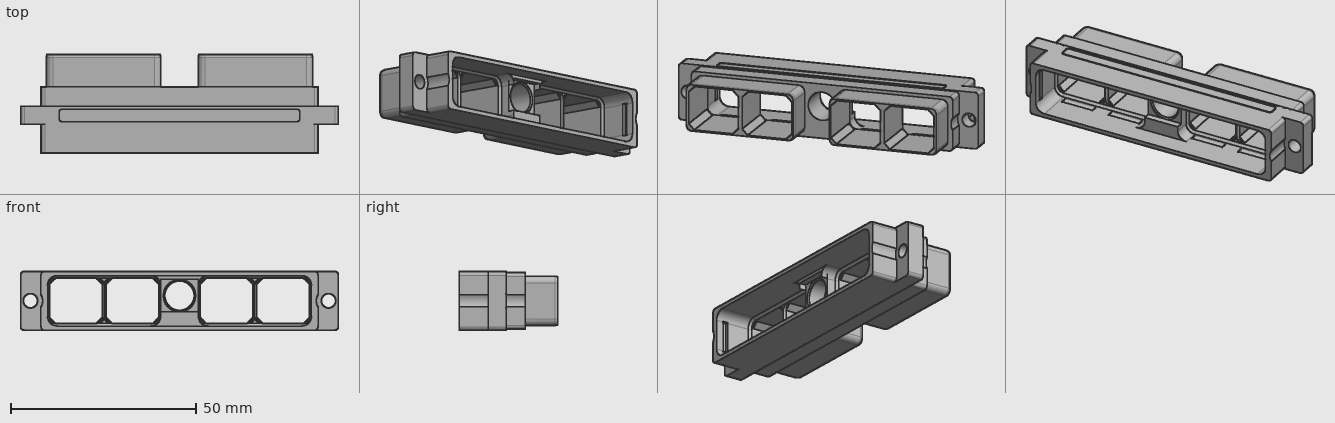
import cadquery as cq

BODY_DEPTH = 17.9
FLANGE_FRONT = 7.8
FLANGE_THICKNESS = 4.9
TOTAL_DEPTH = 26.66

FLANGE_LENGTH = 85.86
BODY_LENGTH = 74.8
BODY_HEIGHT = 15.9
REAR_BODY_HEIGHT = 15.3
SHELL_CORNER_RADIUS = 1.0
FLANGE_BACK = FLANGE_FRONT + FLANGE_THICKNESS

MOUNT_HOLE_X = 40.25
MOUNT_HOLE_DIAMETER = 3.8
SCREW_HEAD_DIAMETER = 6.6

BOSS_CENTER_X = 20.5
BOSS_LENGTH = 31.0
BOSS_HEIGHT = 13.4
BOSS_CORNER_RADIUS = 1.8
BOSS_END_BEVEL_DEPTH = 0.8
BOSS_END_BEVEL_INSET = 0.2

CAVITY_LENGTH = 71.2
CAVITY_HEIGHT = 13.6
CAVITY_CORNER_RADIUS = 2.6
CAVITY_DEPTH = 10.4
CENTER_BLOCK_WIDTH = 10.2
CENTER_BLOCK_FRONT = 5.8
HALF_LENGTH = (CAVITY_LENGTH - CENTER_BLOCK_WIDTH) / 2
HALF_CENTER_X = (CENTER_BLOCK_WIDTH + HALF_LENGTH) / 2

SEAT_END_INSET = 0.5
SEAT_FLOOR_INSET = 0.7
SEAT_DEPTH = 0.8
SEAT_BACK = CAVITY_DEPTH + SEAT_DEPTH
SEAT_LENGTH = HALF_LENGTH - 2 * SEAT_END_INSET
SEAT_HEIGHT = CAVITY_HEIGHT - 2 * SEAT_FLOOR_INSET
SEAT_CORNER_RADIUS = 1.9

BAY_LENGTH = SEAT_LENGTH / 2
DIVIDER_THICKNESS = 1.1
DIVIDER_SLOPE = DIVIDER_THICKNESS / 2
WINDOW_LENGTH = BAY_LENGTH - DIVIDER_SLOPE
WINDOW_HEIGHT = SEAT_HEIGHT
WINDOW_BEVEL = 1.6
LEAD_IN_DEPTH = 0.6
LEAD_IN_CORNER_RADIUS = 1.4

BLOCK_RECESS_BOTTOM = -2.95
BLOCK_RECESS_TOP = 5.85
GUIDE_HOLE_Z = 1.4
GUIDE_HOLE_DIAMETER = 7.9
GUIDE_HOLE_CHAMFER = 0.4

NOTCH_CENTERS_X = (12.9, 27.3)
NOTCH_LENGTH = 9.5
NOTCH_FRONT = 8.0
NOTCH_BACK = 9.9
NOTCH_DEPTH = 0.5

SLOT_FRONT = 2.1
SLOT_BACK = 3.6
SLOT_DEPTH = 0.9
SLOT_HEIGHT = 8.8

LABEL_LENGTH = 64.9
LABEL_WIDTH = 3.35
LABEL_CENTER_Y = 10.2
LABEL_CORNER_RADIUS = 0.7
LABEL_DEPTH = 0.2

SIDES = (-1, 1)


def plane_at(y, x=0.0, z=0.0):
    """Workplane facing +Y, with local x along -X and local y along +Z."""
    return cq.Workplane(cq.Plane(origin=(x, y, z), xDir=(-1, 0, 0), normal=(0, 1, 0)))


def rounded_block(length, height, radius, y_front, y_back, x=0.0):
    block = plane_at(y_front, x).rect(length, height).extrude(y_back - y_front)
    return block.edges("|Y").fillet(radius)


def rounded_taper(front_size, front_radius, back_size, back_radius, y_front, y_back, x_front, x_back):
    """Frustum between two rounded rectangles, each given as (length, height) and a center x."""
    front = cq.Sketch().rect(*front_size).vertices().fillet(front_radius)
    back = cq.Sketch().rect(*back_size).vertices().fillet(back_radius)
    back_offset = cq.Vector(x_front - x_back, 0, y_back - y_front)
    return plane_at(y_front, x_front).placeSketch(front, back.moved(cq.Location(back_offset))).loft()


def make_boss(x):
    bevel_front = TOTAL_DEPTH - BOSS_END_BEVEL_DEPTH
    boss = rounded_block(BOSS_LENGTH, BOSS_HEIGHT, BOSS_CORNER_RADIUS, FLANGE_BACK, bevel_front, x)
    end_size = (BOSS_LENGTH - 2 * BOSS_END_BEVEL_INSET, BOSS_HEIGHT - 2 * BOSS_END_BEVEL_INSET)
    bevelled_end = rounded_taper(
        (BOSS_LENGTH, BOSS_HEIGHT),
        BOSS_CORNER_RADIUS,
        end_size,
        BOSS_CORNER_RADIUS - BOSS_END_BEVEL_INSET,
        bevel_front,
        TOTAL_DEPTH,
        x,
        x,
    )
    return boss.union(bevelled_end)


def make_shell():
    shell = rounded_block(BODY_LENGTH, BODY_HEIGHT, SHELL_CORNER_RADIUS, 0, FLANGE_BACK)
    shell = shell.union(
        rounded_block(FLANGE_LENGTH, BODY_HEIGHT, SHELL_CORNER_RADIUS, FLANGE_FRONT, FLANGE_BACK)
    )
    shell = shell.union(
        rounded_block(BODY_LENGTH, REAR_BODY_HEIGHT, SHELL_CORNER_RADIUS, FLANGE_FRONT, BODY_DEPTH)
    )
    for side in SIDES:
        shell = shell.union(make_boss(side * BOSS_CENTER_X))
    return shell


def cut_mounting(shell):
    for side in SIDES:
        x = side * MOUNT_HOLE_X
        shell = shell.cut(plane_at(0, x).circle(MOUNT_HOLE_DIAMETER / 2).extrude(BODY_DEPTH))
        shell = shell.cut(plane_at(0, x).circle(SCREW_HEAD_DIAMETER / 2).extrude(FLANGE_FRONT))
        rear_groove = plane_at(FLANGE_BACK, x).circle(SCREW_HEAD_DIAMETER / 2)
        shell = shell.cut(rear_groove.extrude(BODY_DEPTH - FLANGE_BACK))
    return shell


def make_bay(half_x, bay_side):
    """Lead-in and window on one side of the divider at half_x."""
    bay_x = half_x + bay_side * BAY_LENGTH / 2
    window_x = bay_x + bay_side * DIVIDER_SLOPE / 2
    lead_in = rounded_taper(
        (BAY_LENGTH, SEAT_HEIGHT),
        SEAT_CORNER_RADIUS,
        (WINDOW_LENGTH, WINDOW_HEIGHT),
        LEAD_IN_CORNER_RADIUS,
        SEAT_BACK,
        SEAT_BACK + LEAD_IN_DEPTH,
        bay_x,
        window_x,
    )
    window = plane_at(SEAT_BACK, window_x).rect(WINDOW_LENGTH, WINDOW_HEIGHT)
    window = window.extrude(TOTAL_DEPTH - SEAT_BACK).edges("|Y").chamfer(WINDOW_BEVEL)
    return lead_in.union(window)


def cut_cavity(shell):
    shell = shell.cut(
        rounded_block(CAVITY_LENGTH, CAVITY_HEIGHT, CAVITY_CORNER_RADIUS, 0, CENTER_BLOCK_FRONT)
    )
    for side in SIDES:
        x = side * HALF_CENTER_X
        shell = shell.cut(
            rounded_block(
                HALF_LENGTH, CAVITY_HEIGHT, CAVITY_CORNER_RADIUS, CENTER_BLOCK_FRONT, CAVITY_DEPTH, x
            )
        )
        shell = shell.cut(
            rounded_taper(
                (HALF_LENGTH, CAVITY_HEIGHT),
                CAVITY_CORNER_RADIUS,
                (SEAT_LENGTH, SEAT_HEIGHT),
                SEAT_CORNER_RADIUS,
                CAVITY_DEPTH,
                SEAT_BACK,
                x,
                x,
            )
        )
        for bay_side in SIDES:
            shell = shell.cut(make_bay(x, bay_side))
    return shell


def cut_center_block(shell):
    recess_height = BLOCK_RECESS_TOP - BLOCK_RECESS_BOTTOM
    recess_z = (BLOCK_RECESS_TOP + BLOCK_RECESS_BOTTOM) / 2
    recess = plane_at(CENTER_BLOCK_FRONT, z=recess_z).rect(CENTER_BLOCK_WIDTH, recess_height)
    shell = shell.cut(recess.extrude(FLANGE_FRONT - CENTER_BLOCK_FRONT))
    hole_radius = GUIDE_HOLE_DIAMETER / 2
    hole = plane_at(FLANGE_FRONT, z=GUIDE_HOLE_Z).circle(hole_radius).extrude(BODY_DEPTH - FLANGE_FRONT)
    lead_in = plane_at(FLANGE_FRONT, z=GUIDE_HOLE_Z).circle(hole_radius + GUIDE_HOLE_CHAMFER)
    lead_in = lead_in.workplane(offset=GUIDE_HOLE_CHAMFER).circle(hole_radius).loft()
    return shell.cut(hole).cut(lead_in)


def cut_notches(shell):
    floor_z = -CAVITY_HEIGHT / 2
    profile = [
        (NOTCH_FRONT, floor_z),
        (NOTCH_FRONT, floor_z - NOTCH_DEPTH),
        (NOTCH_BACK, floor_z),
    ]
    notch = cq.Workplane("YZ").polyline(profile).close().extrude(NOTCH_LENGTH / 2, both=True)
    for side in SIDES:
        for center_x in NOTCH_CENTERS_X:
            shell = shell.cut(notch.translate((side * center_x, 0, 0)))
    return shell


def cut_end_slots(shell):
    slot_length = CAVITY_LENGTH + 2 * SLOT_DEPTH
    slots = plane_at(SLOT_FRONT).rect(slot_length, SLOT_HEIGHT).extrude(SLOT_BACK - SLOT_FRONT)
    return shell.cut(slots)


def cut_label_recess(shell):
    top = cq.Workplane("XY", origin=(0, LABEL_CENTER_Y, BODY_HEIGHT / 2))
    recess = top.rect(LABEL_LENGTH, LABEL_WIDTH).extrude(-LABEL_DEPTH)
    return shell.cut(recess.edges("|Z").fillet(LABEL_CORNER_RADIUS))


result = make_shell()
result = cut_mounting(result)
result = cut_cavity(result)
result = cut_center_block(result)
result = cut_notches(result)
result = cut_end_slots(result)
result = cut_label_recess(result)